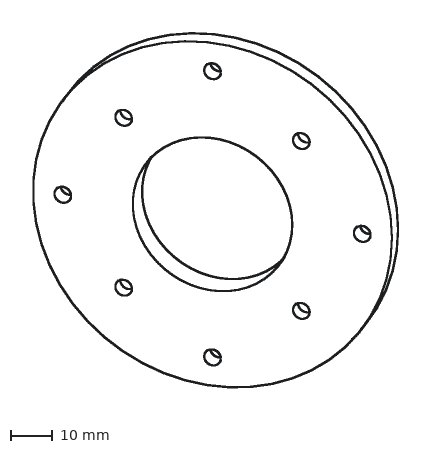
import cadquery as cq

flange_diameter = 90
total_thickness = 7.5
boss_height = 2.5
flange_thickness = total_thickness - boss_height

boss_diameter = 60.0
bore_diameter = 40.0

hole_diameter = 4.1
through_hole_circle_radius = 37.5
blind_hole_circle_radius = 31.5
blind_hole_depth = 4.0


def disc(diameter, start_y, length):
    """Cylinder along +Y, centred on the part axis."""
    plane = cq.Workplane("XZ", origin=(0, start_y, 0))
    return plane.circle(diameter / 2).extrude(-length)


def hole_ring(circle_radius, start_angle, depth):
    """Four equally spaced hole cutters entering from the front face at Y = 0."""
    return (
        cq.Workplane("XZ")
        .polarArray(circle_radius, start_angle, 360, 4)
        .circle(hole_diameter / 2)
        .extrude(-depth)
    )


flange = disc(flange_diameter, 0, flange_thickness)
boss = disc(boss_diameter, flange_thickness, boss_height)
bore = disc(bore_diameter, 0, total_thickness)

through_holes = hole_ring(through_hole_circle_radius, 0, flange_thickness)
blind_holes = hole_ring(blind_hole_circle_radius, 45, blind_hole_depth)

result = flange.union(boss).cut(bore).cut(through_holes).cut(blind_holes)